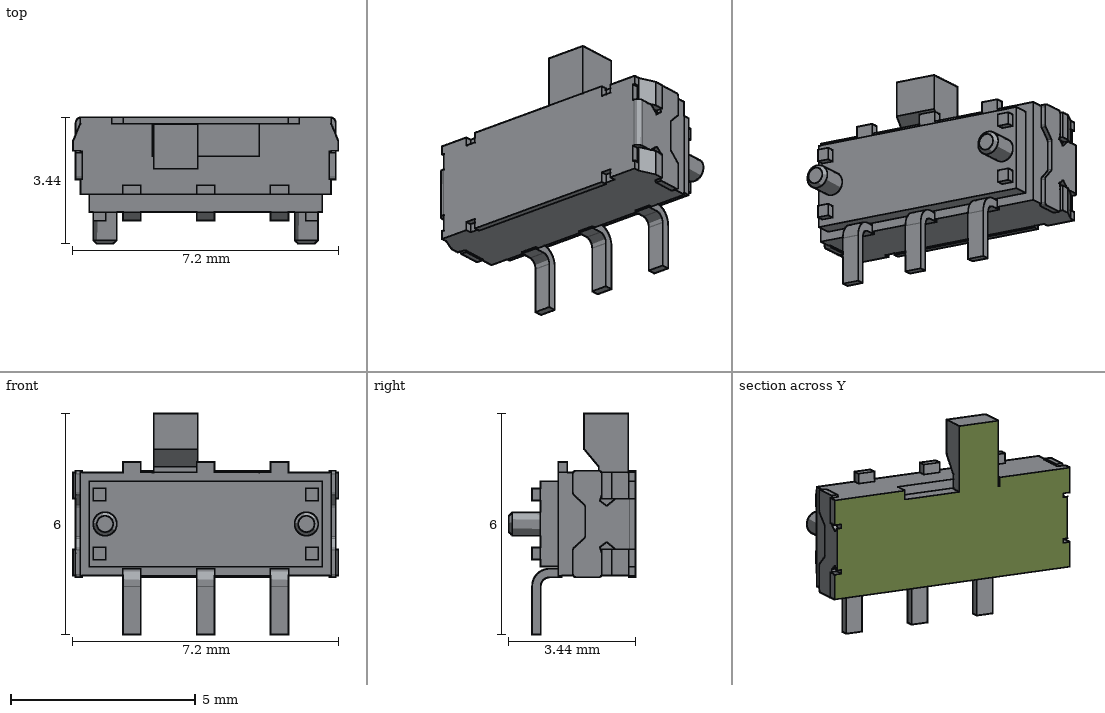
import cadquery as cq
import math


OVERLAP = 0.1

HOUSING_HALF_X = 3.4
HOUSING_HALF_Z = 1.4
HOUSING_DEPTH = 2.1

EAR_HALF_X = 3.6
EAR_SLOPE_END = 0.65
EAR_END = 0.92
EAR_LOW_Z = 0.69

SHEET = 0.18
COVER_HALF_X = 3.53
COVER_HALF_Z = 1.445
REAR_PLATE_HALF_X = 3.34
REAR_PLATE_HALF_Z = 1.155
REAR_TAB_HALF_X = 2.24
TAB_GAP = 0.3
COVER_FRONT = 1.7
COVER_WAIST = 1.37
COVER_REAR_BEVEL = 0.05
COVER_FRONT_RADIUS = 0.08
UPPER_SLOPE_HIGH = 0.81
UPPER_SLOPE_LOW = 0.5
LOWER_SLOPE_HIGH = -0.37
LOWER_SLOPE_LOW = -0.67
BEND_RADIUS = 0.17

RELIEF_START = 0.54
RELIEF_TIP = 0.785
RELIEF_TIP_Z = 0.49
RELIEF_END = 0.97
RELIEF_SHOULDER_Z = 0.63
RELIEF_TOP_Z = 0.79

OPENING_HALF_X = 1.45
OPENING_FRONT = 1.07
OPENING_SINK = 0.25
LEVER_CENTER_X = -0.81
LEVER_WIDTH = 1.2
LEVER_REAR = 0.2
LEVER_FRONT = 1.4
LEVER_NECK = 1.0
LEVER_TOP_Z = 3.0
LEVER_HEAD_Z = 2.03
LEVER_NECK_Z = 1.55

BASE_HALF_X = 3.16
BASE_HALF_Z = 1.16
BASE_DEPTH = 2.58
PAD_X = 2.88
PAD_Z = 0.8
PAD_SIZE = 0.33
PAD_DEPTH = 2.81
PIN_X = 2.73
PIN_DIAMETER = 0.64
PIN_DEPTH = 3.44
PIN_CHAMFER = 0.1

TERMINAL_PITCH = 2.0
TERMINAL_WIDTH = 0.49
TERMINAL_THICKNESS = 0.24
TERMINAL_COUNT = 3
LEG_TOP_Z = -1.21
LEG_BOTTOM_Z = -3.0
LEG_START = 2.0
LEG_FRONT = 2.81
LEG_BEND_OUTER = 0.48
STUB_TOP_Z = 1.68
STUB_REAR = 1.85


def block(x0, x1, rear, front, z0, z1):
    """Box between two X values, two depths and two Z values."""
    size = (x1 - x0, front - rear, z1 - z0)
    return cq.Workplane("XY").box(*size, centered=False).translate((x0, -front, z0))


def side_prism(points, x0, x1):
    """Prism along X whose outline is given as (depth, z) points."""
    outline = [(-depth, z) for depth, z in points]
    return cq.Workplane("YZ", origin=(x0, 0, 0)).polyline(outline).close().extrude(x1 - x0)


def both_ends(shape):
    """The shape together with its mirror image across X = 0."""
    return shape.union(shape.mirror("YZ"))


def top_and_bottom(shape):
    """The shape together with its mirror image across Z = 0."""
    return shape.union(shape.mirror("XY"))


def make_ears():
    outline = [
        (HOUSING_HALF_X - OVERLAP, -SHEET),
        (HOUSING_HALF_X, -SHEET),
        (EAR_HALF_X, -EAR_SLOPE_END),
        (EAR_HALF_X, -EAR_END),
        (HOUSING_HALF_X - OVERLAP, -EAR_END),
    ]
    ear = (
        cq.Workplane("XY", origin=(0, 0, EAR_LOW_Z))
        .polyline(outline)
        .close()
        .extrude(HOUSING_HALF_Z - EAR_LOW_Z)
    )
    return both_ends(top_and_bottom(ear))


def make_housing():
    housing = block(
        -HOUSING_HALF_X, HOUSING_HALF_X, 0, HOUSING_DEPTH, -HOUSING_HALF_Z, HOUSING_HALF_Z
    )
    cover_seat = block(
        -HOUSING_HALF_X, HOUSING_HALF_X, 0, SHEET, -REAR_PLATE_HALF_Z, REAR_PLATE_HALF_Z
    )
    tab_half = REAR_TAB_HALF_X + TAB_GAP
    tab_seat = block(-tab_half, tab_half, 0, SHEET, -HOUSING_HALF_Z, HOUSING_HALF_Z)
    opening = block(
        -OPENING_HALF_X,
        OPENING_HALF_X,
        SHEET,
        OPENING_FRONT,
        HOUSING_HALF_Z - OPENING_SINK,
        HOUSING_HALF_Z,
    )
    return housing.cut(cover_seat).cut(tab_seat).cut(opening).union(make_ears())


def make_end_plate():
    inner_x = COVER_HALF_X - SHEET
    bevel_z = COVER_HALF_Z - COVER_REAR_BEVEL
    bevel_end = EAR_END + COVER_REAR_BEVEL
    outline = [
        (0, EAR_LOW_Z),
        (EAR_END, EAR_LOW_Z),
        (EAR_END, bevel_z),
        (bevel_end, COVER_HALF_Z),
        (COVER_FRONT, COVER_HALF_Z),
        (COVER_FRONT, UPPER_SLOPE_HIGH),
        (COVER_WAIST, UPPER_SLOPE_LOW),
        (COVER_WAIST, LOWER_SLOPE_HIGH),
        (COVER_FRONT, LOWER_SLOPE_LOW),
        (COVER_FRONT, -COVER_HALF_Z),
        (bevel_end, -COVER_HALF_Z),
        (EAR_END, -bevel_z),
        (EAR_END, -EAR_LOW_Z),
        (0, -EAR_LOW_Z),
    ]
    relief = [
        (RELIEF_START, EAR_LOW_Z),
        (RELIEF_TIP, RELIEF_TIP_Z),
        (RELIEF_END, RELIEF_SHOULDER_Z),
        (EAR_END, RELIEF_TOP_Z),
        (EAR_END, EAR_LOW_Z),
    ]
    plate = side_prism(outline, inner_x, COVER_HALF_X)
    plate = plate.edges("|Z and >X and >Y").fillet(BEND_RADIUS)
    zone_z = COVER_HALF_Z + OVERLAP
    front_zone_rear = COVER_WAIST - OVERLAP
    front_zone = cq.selectors.BoxSelector(
        (0, -HOUSING_DEPTH, -zone_z), (EAR_HALF_X, -front_zone_rear, zone_z)
    )
    plate = plate.edges(front_zone).edges("|X").fillet(COVER_FRONT_RADIUS)
    return plate.cut(top_and_bottom(side_prism(relief, HOUSING_HALF_X, COVER_HALF_X)))


def make_cover():
    rear_plate = block(
        -REAR_PLATE_HALF_X, REAR_PLATE_HALF_X, 0, SHEET, -REAR_PLATE_HALF_Z, REAR_PLATE_HALF_Z
    )
    tabs = block(-REAR_TAB_HALF_X, REAR_TAB_HALF_X, 0, SHEET, -COVER_HALF_Z, COVER_HALF_Z)
    bend_start = REAR_PLATE_HALF_X - OVERLAP
    bend_end = COVER_HALF_X - SHEET
    bridge = block(bend_start, bend_end, 0, SHEET, -EAR_LOW_Z, EAR_LOW_Z)
    return rear_plate.union(tabs).union(both_ends(bridge.union(make_end_plate())))


def make_lever():
    floor_z = HOUSING_HALF_Z - OPENING_SINK - OVERLAP
    profile = [
        (LEVER_REAR, floor_z),
        (LEVER_REAR, LEVER_TOP_Z),
        (LEVER_FRONT, LEVER_TOP_Z),
        (LEVER_FRONT, LEVER_HEAD_Z),
        (LEVER_NECK, LEVER_NECK_Z),
        (LEVER_NECK, floor_z),
    ]
    left = LEVER_CENTER_X - LEVER_WIDTH / 2
    return side_prism(profile, left, left + LEVER_WIDTH)


def make_base():
    root = BASE_DEPTH - OVERLAP
    base = block(
        -BASE_HALF_X, BASE_HALF_X, HOUSING_DEPTH - OVERLAP, BASE_DEPTH, -BASE_HALF_Z, BASE_HALF_Z
    )
    half_pad = PAD_SIZE / 2
    pad = block(
        PAD_X - half_pad, PAD_X + half_pad, root, PAD_DEPTH, PAD_Z - half_pad, PAD_Z + half_pad
    )
    pin = (
        cq.Workplane("XZ", origin=(PIN_X, -root, 0))
        .circle(PIN_DIAMETER / 2)
        .extrude(PIN_DEPTH - root)
        .faces("<Y")
        .chamfer(PIN_CHAMFER)
    )
    return base.union(both_ends(top_and_bottom(pad))).union(both_ends(pin))


def make_terminal(center_x):
    left = center_x - TERMINAL_WIDTH / 2
    right = left + TERMINAL_WIDTH
    stub = block(left, right, STUB_REAR, HOUSING_DEPTH, HOUSING_HALF_Z - OVERLAP, STUB_TOP_Z)

    bend_start = LEG_FRONT - LEG_BEND_OUTER
    bend_end_z = LEG_TOP_Z - LEG_BEND_OUTER
    bend_inner = LEG_BEND_OUTER - TERMINAL_THICKNESS
    leg_rear = LEG_FRONT - TERMINAL_THICKNESS
    leg_under_z = LEG_TOP_Z - TERMINAL_THICKNESS
    diagonal = math.sqrt(0.5)
    outer_mid = LEG_BEND_OUTER * diagonal
    inner_mid = bend_inner * diagonal
    leg = (
        cq.Workplane("YZ", origin=(left, 0, 0))
        .moveTo(-LEG_START, LEG_TOP_Z)
        .lineTo(-bend_start, LEG_TOP_Z)
        .threePointArc((-bend_start - outer_mid, bend_end_z + outer_mid), (-LEG_FRONT, bend_end_z))
        .lineTo(-LEG_FRONT, LEG_BOTTOM_Z)
        .lineTo(-leg_rear, LEG_BOTTOM_Z)
        .lineTo(-leg_rear, bend_end_z)
        .threePointArc((-bend_start - inner_mid, bend_end_z + inner_mid), (-bend_start, leg_under_z))
        .lineTo(-LEG_START, leg_under_z)
        .close()
        .extrude(TERMINAL_WIDTH)
    )
    return stub.union(leg)


result = make_housing().union(make_cover()).union(make_lever()).union(make_base())
for index in range(TERMINAL_COUNT):
    terminal_x = (index - (TERMINAL_COUNT - 1) / 2) * TERMINAL_PITCH
    result = result.union(make_terminal(terminal_x))